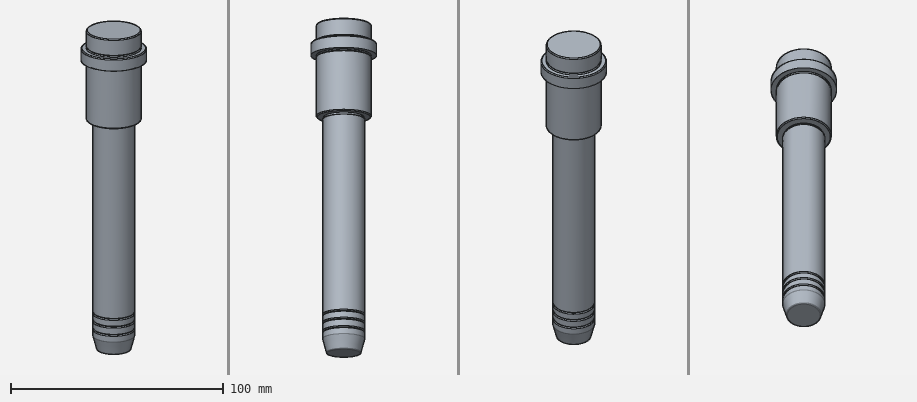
import cadquery as cq
import math

total_length = 160.0
head_diameter = 26.0
shaft_diameter = 20.0
collar_diameter = 31.0
collar_thickness = 6.0

collar_top_depth = 9.0
shoulder_depth = 45.0
groove_depths = (141.6, 145.5, 149.6)

head_chamfer = 0.5
collar_chamfer = 0.5
tip_fillet = 0.5

groove_width = 1.0
groove_cut = 0.5

undercut_width = 1.0
undercut_cut = 0.5

taper_length = 7.0
taper_angle = 15.0

head_radius = head_diameter / 2
shaft_radius = shaft_diameter / 2
tip_radius = shaft_radius - taper_length * math.tan(math.radians(taper_angle))
undercut_radius = shaft_radius - undercut_cut
z_top = total_length / 2
z_bottom = -z_top
z_taper = z_bottom + taper_length
z_shoulder = z_top - shoulder_depth
z_undercut = z_shoulder - undercut_width
z_collar_top = z_top - collar_top_depth
z_collar_bottom = z_collar_top - collar_thickness


def cylinder(diameter, z_low, z_high):
    """Solid cylinder on the Z axis between two heights."""
    return cq.Workplane("XY").workplane(offset=z_low).circle(diameter / 2).extrude(z_high - z_low)


def revolved(points):
    """Solid swept around Z from a closed outline of (radius, height) points."""
    return cq.Workplane("XZ").polyline(points).close().revolve(360, (0, 0, 0), (0, 1, 0))


def v_groove(radius, z_center):
    """Cutter for a V-shaped groove around a cylinder of the given radius."""
    half_width = groove_width / 2
    return revolved([
        (radius, z_center - half_width),
        (radius - groove_cut, z_center),
        (radius, z_center + half_width),
    ])


def make_head():
    """Fitting diameter, chamfered at both ends and grooved beside the collar."""
    head = cylinder(head_diameter, z_shoulder, z_top).faces("<Z or >Z").chamfer(head_chamfer)
    head = head.cut(v_groove(head_radius, z_collar_top + groove_width / 2))
    return head.cut(v_groove(head_radius, z_collar_bottom - groove_width / 2))


def make_collar():
    """Wide collar with a chamfered upper edge."""
    return cylinder(collar_diameter, z_collar_bottom, z_collar_top).faces(">Z").chamfer(collar_chamfer)


def make_shaft():
    """Shaft with an undercut at the shoulder, V grooves and a tapered, rounded tip."""
    shaft = revolved([
        (0, z_bottom),
        (tip_radius, z_bottom),
        (shaft_radius, z_taper),
        (shaft_radius, z_undercut),
        (undercut_radius, z_undercut),
        (undercut_radius, z_shoulder),
        (0, z_shoulder),
    ])
    shaft = shaft.faces("<Z").edges().fillet(tip_fillet)
    for depth in groove_depths:
        shaft = shaft.cut(v_groove(shaft_radius, z_top - depth))
    return shaft


result = make_head().union(make_collar()).union(make_shaft())